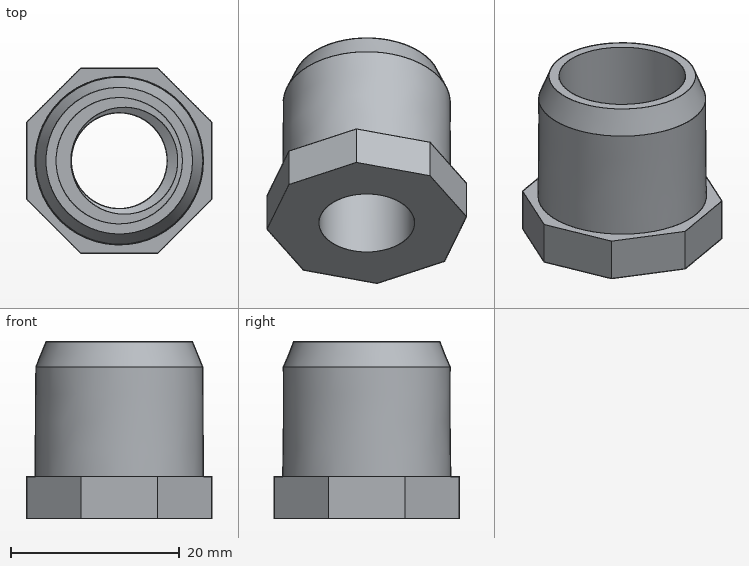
import cadquery as cq
import math

ACROSS_FLATS = 22.0
FLANGE_HEIGHT = 5.0
SIDES = 8

TOTAL_HEIGHT = 21.0
BARREL_BASE_DIAMETER = 20.0
BARREL_END_DIAMETER = 19.84
LEAD_IN_HEIGHT = 3.0
LEAD_IN_DIAMETER = 17.4

BORE_DIAMETER = 15.0
BORE_FLOOR_Z = 10.0
THROUGH_HOLE_DIAMETER = 11.35

SINK_DIAMETER = 12.7
SINK_OFFSET = 0.6
SINK_ANGLE = 120.0


def make_flange():
    across_corners = ACROSS_FLATS / math.cos(math.pi / SIDES)
    flange = cq.Workplane("XY").polygon(SIDES, across_corners).extrude(FLANGE_HEIGHT)
    return flange.rotate((0, 0, 0), (0, 0, 1), 180 / SIDES)


def make_barrel():
    lead_in_z = TOTAL_HEIGHT - LEAD_IN_HEIGHT
    profile = (
        cq.Workplane("XZ")
        .moveTo(0, FLANGE_HEIGHT)
        .lineTo(BARREL_BASE_DIAMETER / 2, FLANGE_HEIGHT)
        .lineTo(BARREL_END_DIAMETER / 2, lead_in_z)
        .lineTo(LEAD_IN_DIAMETER / 2, TOTAL_HEIGHT)
        .lineTo(0, TOTAL_HEIGHT)
        .close()
    )
    return profile.revolve(360, (0, 0, 0), (0, 1, 0))


def make_bores():
    bore_depth = TOTAL_HEIGHT - BORE_FLOOR_Z
    floor = cq.Workplane("XY").workplane(offset=BORE_FLOOR_Z)
    bore = floor.circle(BORE_DIAMETER / 2).extrude(bore_depth)
    through_hole = cq.Workplane("XY").circle(THROUGH_HOLE_DIAMETER / 2).extrude(TOTAL_HEIGHT)
    return bore.union(through_hole)


def make_countersink():
    sink_radius = SINK_DIAMETER / 2
    tip_depth = sink_radius / math.tan(math.radians(SINK_ANGLE / 2))
    rim_centre = cq.Vector(SINK_OFFSET, 0, BORE_FLOOR_Z)
    down = cq.Vector(0, 0, -1)
    return cq.Workplane(cq.Solid.makeCone(sink_radius, 0, tip_depth, rim_centre, down))


result = make_flange().union(make_barrel()).cut(make_bores()).cut(make_countersink())